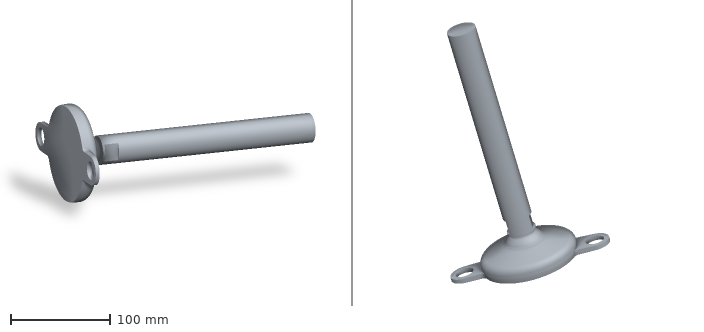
import cadquery as cq
import math

total_length = 265.0
total_width = 166.0

foot_diameter = 100.0
foot_radius = foot_diameter / 2
floor_radius = 49.3
draft_height = 5.5
shoulder_start = 9.0
shoulder_radius = 7.7
cone_angle = math.radians(19)
cone_top_radius = 21.7
ball_radius = 23.3
ball_center_height = 13.0
ball_edge_radius = 19.5

spindle_diameter = 30.0
spindle_radius = spindle_diameter / 2
spindle_start = 35.0
flat_start = 37.0
flat_length = 14.8
across_flats = 24.0

lug_width = spindle_diameter
lug_end_radius = lug_width / 2
hole_diameter = 19.0
hole_offset = total_width / 2 - lug_end_radius
lug_tip_height = 4.2
corner_radius = 5.5


def make_foot():
    """Revolve the drafted rim, rounded shoulder, cone and ball cap about Y."""
    shoulder_center_x = foot_radius - shoulder_radius

    def shoulder_point(angle):
        return (
            shoulder_center_x + shoulder_radius * math.cos(angle),
            shoulder_start + shoulder_radius * math.sin(angle),
        )

    shoulder_sweep = math.pi / 2 - cone_angle
    cone_start = shoulder_point(shoulder_sweep)
    cone_rise = (cone_start[0] - cone_top_radius) * math.tan(cone_angle)
    ball_edge_height = ball_center_height + math.sqrt(ball_radius**2 - ball_edge_radius**2)
    ball_mid_angle = (math.pi / 2 + math.acos(ball_edge_radius / ball_radius)) / 2
    ball_mid = (
        ball_radius * math.cos(ball_mid_angle),
        ball_center_height + ball_radius * math.sin(ball_mid_angle),
    )
    return (
        cq.Workplane("XY")
        .lineTo(floor_radius, 0)
        .lineTo(foot_radius, draft_height)
        .lineTo(foot_radius, shoulder_start)
        .threePointArc(shoulder_point(shoulder_sweep / 2), cone_start)
        .lineTo(cone_top_radius, cone_start[1] + cone_rise)
        .lineTo(ball_edge_radius, ball_edge_height)
        .threePointArc(ball_mid, (0, ball_center_height + ball_radius))
        .close()
        .revolve(360, (0, 0, 0), (0, 1, 0))
    )


def make_spindle():
    """Plain rod with a pair of wrench flats facing -X and +X."""
    rod = (
        cq.Workplane("XZ", origin=(0, spindle_start, 0))
        .circle(spindle_radius)
        .extrude(spindle_start - total_length)
    )
    for side in (-1, 1):
        cutter = cq.Workplane("XY").box(spindle_radius, flat_length, spindle_diameter)
        rod = rod.cut(
            cutter.translate((
                side * (across_flats + spindle_radius) / 2,
                flat_start + flat_length / 2,
                0,
            ))
        )
    return rod


def make_lugs():
    """Two lugs blended into the foot, thinning from the foot towards the tips."""
    bar = (
        cq.Workplane("XZ")
        .slot2D(total_width, lug_width)
        .extrude(-draft_height)
    )
    disc = cq.Workplane("XZ").circle(floor_radius).extrude(-draft_height)
    corner_x = math.sqrt(floor_radius**2 - lug_end_radius**2)
    margin = corner_radius / 2
    corners = cq.selectors.BoxSelector(
        (-corner_x - margin, -margin, -lug_end_radius - margin),
        (corner_x + margin, draft_height + margin, lug_end_radius + margin),
    )
    plate = bar.union(disc).edges("|Y").edges(corners).fillet(corner_radius)

    blend_center_z = lug_end_radius + corner_radius
    blend_reach = floor_radius + corner_radius
    blend_end_z = blend_center_z * floor_radius / blend_reach
    slope_start = math.sqrt(blend_reach**2 - blend_center_z**2)
    envelope = (
        cq.Workplane("XY")
        .moveTo(-total_width / 2, 0)
        .lineTo(total_width / 2, 0)
        .lineTo(total_width / 2, lug_tip_height)
        .lineTo(slope_start, draft_height)
        .lineTo(-slope_start, draft_height)
        .lineTo(-total_width / 2, lug_tip_height)
        .close()
        .extrude(blend_end_z, both=True)
    )
    return plate.intersect(envelope)


lug_holes = (
    cq.Workplane("XZ")
    .pushPoints([(-hole_offset, 0), (hole_offset, 0)])
    .circle(hole_diameter / 2)
    .extrude(-draft_height)
)

result = make_foot().union(make_spindle()).union(make_lugs()).cut(lug_holes)